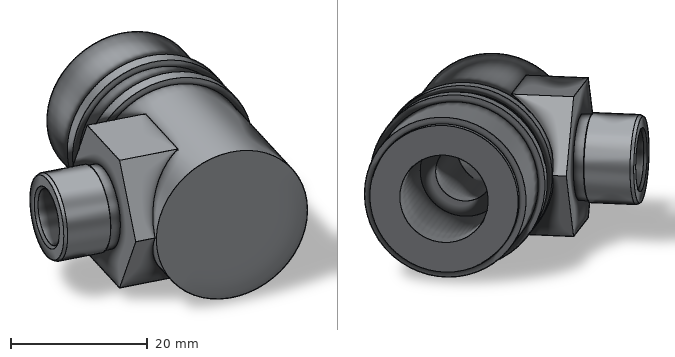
import cadquery as cq
import math

length = 42.0
barrel_diameter = 24.0
spigot_diameter = 22.0
spigot_length = 1.0
collar_diameter = 26.0
collar_width = 2.0
collar_starts = (11.0, 17.0)

fitting_x = 29.35
hex_across_flats = 21.0
hex_face_reach = 15.05
overall_depth = 37.0
nozzle_reach = overall_depth - collar_diameter / 2
nozzle_diameter = 13.2
nozzle_chamfer_length = 0.5
nozzle_chamfer_depth = 0.25
neck_diameter = 12.7
neck_length = 1.5
shoulder_length = 0.13

bore_diameter = 8.53
bore_mouth_chamfer = 0.4
inlet_diameter = 13.1
inlet_depth = 16.8

hex_across_corners = hex_across_flats / math.cos(math.radians(30))
hex_seat_reach = math.sqrt((barrel_diameter / 2) ** 2 - (hex_across_flats / 2) ** 2)


def cylinder_along_x(diameter, start, span):
    return cq.Workplane("YZ", origin=(start, 0, 0)).circle(diameter / 2).extrude(span)


def make_passage():
    """Wider inlet, then one bore that turns toward the nozzle with a mitred corner."""
    inlet = cylinder_along_x(inlet_diameter, 0, inlet_depth)
    centreline = cq.Workplane("XY").polyline([(0, 0), (fitting_x, 0), (fitting_x, -nozzle_reach)])
    bore = cq.Workplane("YZ").circle(bore_diameter / 2).sweep(centreline, transition="right")
    return inlet.union(bore)


def make_hexagon():
    """Hexagonal prism from its seat inside the barrel to its outer face, two corners along X."""
    seat = cq.Workplane("XZ", origin=(fitting_x, -hex_seat_reach, 0))
    return seat.polygon(6, hex_across_corners).extrude(hex_face_reach - hex_seat_reach)


def make_nozzle():
    """Solid of revolution about the fitting axis: neck, sloped shoulder and chamfered nozzle."""
    neck_radius = neck_diameter / 2
    nozzle_radius = nozzle_diameter / 2
    neck_end = hex_face_reach + neck_length
    half_profile = [
        (0, -hex_face_reach),
        (neck_radius, -hex_face_reach),
        (neck_radius, -neck_end),
        (nozzle_radius, -neck_end - shoulder_length),
        (nozzle_radius, -nozzle_reach + nozzle_chamfer_length),
        (nozzle_radius - nozzle_chamfer_depth, -nozzle_reach),
        (0, -nozzle_reach),
    ]
    profile = cq.Workplane("XY", origin=(fitting_x, 0, 0)).polyline(half_profile).close()
    return profile.revolve(360, (0, 0), (0, 1))


def make_housing(hexagon, passage):
    """Barrel with its spigot and collars, the passage, and the hexagonal recess for the fitting."""
    housing = cylinder_along_x(spigot_diameter, 0, spigot_length)
    housing = housing.union(cylinder_along_x(barrel_diameter, spigot_length, length - spigot_length))
    for start in collar_starts:
        housing = housing.union(cylinder_along_x(collar_diameter, start, collar_width))
    return housing.cut(passage).cut(hexagon)


def make_fitting(hexagon, passage):
    """Hexagon and nozzle in one piece, bored through, with a chamfered bore mouth."""
    fitting = hexagon.union(make_nozzle()).cut(passage)
    smallest_circle = cq.selectors.RadiusNthSelector(0)
    return fitting.faces("<Y").edges(smallest_circle).chamfer(bore_mouth_chamfer)


passage = make_passage()
hexagon = make_hexagon()
housing = make_housing(hexagon, passage)
fitting = make_fitting(hexagon, passage)

result = cq.Compound.makeCompound([housing.val(), fitting.val()])